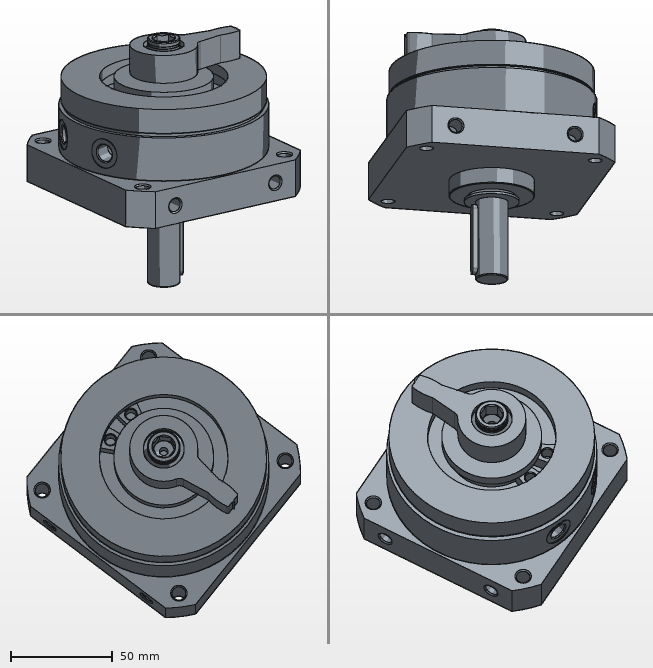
import cadquery as cq
import math


FLANGE_WIDTH = 105.0
FLANGE_HEIGHT = 19.0
FLANGE_CORNER_DIAMETER = 134.4
BOLT_PITCH = 85.0
BOLT_HOLE_DIAMETER = 6.65
SIDE_HOLE_PITCH = 60.0
SIDE_HOLE_DIAMETER = 6.65
SIDE_HOLE_DEPTH = 12.0
THREAD_COUNTERSINK_DIAMETER = 8.0

SPIGOT_DIAMETER = 42.0
SPIGOT_HEIGHT = 8.0

BODY_DIAMETER = 103.2
BODY_TOP = 41.6
NECK_DIAMETER = 99.0
HEAD_DIAMETER = 101.0
HEAD_BOTTOM = 43.2
HEAD_TOP = 56.0
EDGE_CHAMFER = 0.4

PORT_ANGLE = 20.0
PORT_HEIGHT = 30.3
PORT_FACE_DIAMETER = 15.0
PORT_FACE_RADIUS = 51.0
PORT_DIAMETER = 8.57
PORT_COUNTERSINK_DIAMETER = 9.7
PORT_DEPTH = 9.0

SLOT_INNER_DIAMETER = 49.0
SLOT_OUTER_DIAMETER = 63.0
UNDERCUT_INNER_DIAMETER = 43.0
UNDERCUT_OUTER_DIAMETER = 72.0
UNDERCUT_TOP = HEAD_TOP - 5.5

STOP_ANGLE = 17.0
STOP_SPAN = 20.5
STOP_HOLE_DIAMETER = 5.3
STOP_HOLE_COUNTERSINK_DIAMETER = 6.2
STOP_HOLE_RADIUS = (SLOT_INNER_DIAMETER + SLOT_OUTER_DIAMETER) / 4

SHAFT_DIAMETER = 16.0
SHAFT_BOTTOM = -51.0
SHAFT_TOP = 76.0
SHAFT_CHAMFER = 0.5
JOURNAL_DIAMETER = 20.0
COLLAR_DIAMETER = 27.0
COLLAR_NECK_DIAMETER = 23.6
COLLAR_RIM_TOP = -9.8
COLLAR_BOTTOM = -11.0
RING_GROOVE_DIAMETER = 15.2
RING_GROOVE_TOP = 73.7
RING_GROOVE_WIDTH = 1.1
SHOULDER_TOP = 71.5
SHOULDER_HEIGHT = (JOURNAL_DIAMETER - SHAFT_DIAMETER) / 2

KEY_WIDTH = 5.0
KEY_REACH = 10.0
KEY_BOTTOM = -49.0
KEY_LENGTH = 36.0

SOCKET_FLATS = 10.0
SOCKET_COUNTERSINK_DIAMETER = 11.55
SOCKET_DEPTH = 8.0
CENTRE_HOLE_DIAMETER = 4.13
CENTRE_HOLE_DEPTH = 8.0

LEVER_BOTTOM = 58.0
LEVER_TOP = 72.4
LEVER_HUB_DIAMETER = 33.4
LEVER_TIP = 43.2
LEVER_POINT_HEIGHT = 0.7
LEVER_POINT_HALF_WIDTH = 0.7
LEVER_TIP_FILLET = 0.8
LEVER_TIP_HALF_WIDTH = 3.9
LEVER_BULGE_HALF_WIDTH = 4.75
LEVER_BULGE_Y = 37.0
LEVER_WAIST_HALF_WIDTH = 4.3
LEVER_WAIST_Y = 31.0
LEVER_ROOT_HALF_WIDTH = 6.8
LEVER_ROOT_Y = 15.0
LEVER_ROOT_FILLET = 4.0

DRILL_POINT_ANGLE = 118.0


def cylinder(diameter, bottom, top):
    return cq.Workplane("XY").workplane(offset=bottom).circle(diameter / 2).extrude(top - bottom)


def ring(inner_diameter, outer_diameter, bottom, top):
    return cylinder(outer_diameter, bottom, top).cut(cylinder(inner_diameter, bottom, top))


def cone(bottom_diameter, top_diameter, bottom, top):
    solid = cq.Solid.makeCone(
        bottom_diameter / 2, top_diameter / 2, top - bottom, cq.Vector(0, 0, bottom)
    )
    return cq.Workplane("XY").newObject([solid])


def drill_point(diameter, depth):
    """Conical end of a drilled hole, its wide end at Z = -depth."""
    height = diameter / 2 / math.tan(math.radians(DRILL_POINT_ANGLE / 2))
    return cone(0, diameter, -depth - height, -depth)


def countersink(diameter, mouth_diameter):
    """45 degree countersink with its mouth at Z = 0."""
    return cone(diameter, mouth_diameter, (diameter - mouth_diameter) / 2, 0)


def drill(diameter, depth, mouth_diameter):
    """Countersunk blind hole cutter along -Z from the origin."""
    hole = cylinder(diameter, -depth, 0)
    return hole.union(drill_point(diameter, depth)).union(countersink(diameter, mouth_diameter))


def make_flange():
    square = cq.Workplane("XY").rect(FLANGE_WIDTH, FLANGE_WIDTH).extrude(FLANGE_HEIGHT)
    flange = square.intersect(cylinder(FLANGE_CORNER_DIAMETER, 0, FLANGE_HEIGHT))
    for x in (-BOLT_PITCH / 2, BOLT_PITCH / 2):
        for y in (-BOLT_PITCH / 2, BOLT_PITCH / 2):
            hole = drill(BOLT_HOLE_DIAMETER, FLANGE_HEIGHT, THREAD_COUNTERSINK_DIAMETER)
            flange = flange.cut(hole.translate((x, y, FLANGE_HEIGHT)))
    for side in (-1, 1):
        for y in (-SIDE_HOLE_PITCH / 2, SIDE_HOLE_PITCH / 2):
            hole = drill(SIDE_HOLE_DIAMETER, SIDE_HOLE_DEPTH, THREAD_COUNTERSINK_DIAMETER)
            hole = hole.rotate((0, 0, 0), (0, 1, 0), side * 90)
            flange = flange.cut(hole.translate((side * FLANGE_WIDTH / 2, y, FLANGE_HEIGHT / 2)))
    return flange


def cut_ports(housing):
    """Two radial ports with flat faces, either side of the -Y direction."""
    face = cylinder(PORT_FACE_DIAMETER, 0, BODY_DIAMETER / 2 - PORT_FACE_RADIUS)
    cutter = face.union(drill(PORT_DIAMETER, PORT_DEPTH, PORT_COUNTERSINK_DIAMETER))
    cutter = cutter.rotate((0, 0, 0), (1, 0, 0), 90).translate((0, -PORT_FACE_RADIUS, PORT_HEIGHT))
    for angle in (-PORT_ANGLE, PORT_ANGLE):
        housing = housing.cut(cutter.rotate((0, 0, 0), (0, 0, 1), angle))
    return housing


def make_housing():
    spigot = cylinder(SPIGOT_DIAMETER, -SPIGOT_HEIGHT, 0).faces("<Z").chamfer(EDGE_CHAMFER)
    body = cylinder(BODY_DIAMETER, FLANGE_HEIGHT, BODY_TOP).faces("<Z").chamfer(EDGE_CHAMFER)
    neck = cylinder(NECK_DIAMETER, BODY_TOP, HEAD_BOTTOM)
    head = cylinder(HEAD_DIAMETER, HEAD_BOTTOM, HEAD_TOP).faces("<Z").chamfer(EDGE_CHAMFER)
    housing = make_flange().union(spigot).union(body).union(neck).union(head)
    housing = cut_ports(housing)
    slot = ring(SLOT_INNER_DIAMETER, SLOT_OUTER_DIAMETER, UNDERCUT_TOP, HEAD_TOP)
    undercut = ring(UNDERCUT_INNER_DIAMETER, UNDERCUT_OUTER_DIAMETER, HEAD_BOTTOM, UNDERCUT_TOP)
    bore = cylinder(JOURNAL_DIAMETER, -SPIGOT_HEIGHT, HEAD_TOP)
    return housing.cut(slot).cut(undercut).cut(bore)


def make_stop(angle):
    """Sector block filling the undercut of the ring slot, centred at the given angle from -Y."""
    profile_width = (UNDERCUT_OUTER_DIAMETER - UNDERCUT_INNER_DIAMETER) / 2
    profile_height = UNDERCUT_TOP - HEAD_BOTTOM
    profile_centre = (
        -(UNDERCUT_OUTER_DIAMETER + UNDERCUT_INNER_DIAMETER) / 4,
        (UNDERCUT_TOP + HEAD_BOTTOM) / 2,
    )
    stop = (
        cq.Workplane("YZ")
        .center(*profile_centre)
        .rect(profile_width, profile_height)
        .revolve(STOP_SPAN, (-profile_centre[0], 0, 0), (-profile_centre[0], 1, 0))
    )
    direction = math.copysign(1, stop.val().Center().x)
    stop = stop.rotate((0, 0, 0), (0, 0, 1), -direction * STOP_SPAN / 2)
    hole = drill(STOP_HOLE_DIAMETER, profile_height, STOP_HOLE_COUNTERSINK_DIAMETER)
    stop = stop.cut(hole.translate((0, -STOP_HOLE_RADIUS, UNDERCUT_TOP)))
    return stop.rotate((0, 0, 0), (0, 0, 1), angle)


def make_shaft():
    journal = cylinder(JOURNAL_DIAMETER, -SPIGOT_HEIGHT, LEVER_BOTTOM)
    shaft = cylinder(SHAFT_DIAMETER, SHAFT_BOTTOM, SHAFT_TOP)
    shaft = shaft.faces("<Z or >Z").chamfer(SHAFT_CHAMFER)
    collar_rim = cylinder(COLLAR_DIAMETER, COLLAR_BOTTOM, COLLAR_RIM_TOP)
    collar_flare = cone(COLLAR_DIAMETER, COLLAR_NECK_DIAMETER, COLLAR_RIM_TOP, -SPIGOT_HEIGHT)
    return shaft.union(journal).union(collar_rim).union(collar_flare)


def make_key():
    """Round-ended feather key on the +Y side of the output shaft."""
    return (
        cq.Workplane("XZ")
        .center(0, KEY_BOTTOM + KEY_LENGTH / 2)
        .slot2D(KEY_LENGTH, KEY_WIDTH, 90)
        .extrude(-KEY_REACH)
    )


def make_lever():
    hub = cylinder(LEVER_HUB_DIAMETER, LEVER_BOTTOM, LEVER_TOP)
    arm = (
        cq.Workplane("XY")
        .workplane(offset=LEVER_BOTTOM)
        .moveTo(-LEVER_ROOT_HALF_WIDTH, 0)
        .lineTo(-LEVER_ROOT_HALF_WIDTH, LEVER_ROOT_Y)
        .lineTo(-LEVER_WAIST_HALF_WIDTH, LEVER_WAIST_Y)
        .threePointArc((-LEVER_BULGE_HALF_WIDTH, LEVER_BULGE_Y), (-LEVER_TIP_HALF_WIDTH, LEVER_TIP))
        .lineTo(-LEVER_POINT_HALF_WIDTH, LEVER_TIP)
        .lineTo(0, LEVER_TIP + LEVER_POINT_HEIGHT)
        .lineTo(LEVER_POINT_HALF_WIDTH, LEVER_TIP)
        .lineTo(LEVER_TIP_HALF_WIDTH, LEVER_TIP)
        .threePointArc((LEVER_BULGE_HALF_WIDTH, LEVER_BULGE_Y), (LEVER_WAIST_HALF_WIDTH, LEVER_WAIST_Y))
        .lineTo(LEVER_ROOT_HALF_WIDTH, LEVER_ROOT_Y)
        .lineTo(LEVER_ROOT_HALF_WIDTH, 0)
        .close()
        .extrude(LEVER_TOP - LEVER_BOTTOM)
    )
    tip_corners = cq.selectors.BoxSelector(
        (-LEVER_BULGE_HALF_WIDTH, LEVER_TIP - LEVER_TIP_FILLET, LEVER_BOTTOM),
        (-LEVER_POINT_HALF_WIDTH * 2, LEVER_TIP + LEVER_TIP_FILLET, LEVER_TOP),
    ) + cq.selectors.BoxSelector(
        (LEVER_POINT_HALF_WIDTH * 2, LEVER_TIP - LEVER_TIP_FILLET, LEVER_BOTTOM),
        (LEVER_BULGE_HALF_WIDTH, LEVER_TIP + LEVER_TIP_FILLET, LEVER_TOP),
    )
    arm = arm.edges(tip_corners).fillet(LEVER_TIP_FILLET)
    lever = hub.union(arm)
    hub_radius = LEVER_HUB_DIAMETER / 2
    roots = cq.selectors.BoxSelector(
        (-hub_radius, LEVER_ROOT_Y - 2, LEVER_BOTTOM), (hub_radius, LEVER_ROOT_Y + 2, LEVER_TOP)
    )
    return lever.edges(roots).edges("|Z").fillet(LEVER_ROOT_FILLET)


def cut_socket(rotor):
    """Hexagon socket with a conical floor and a centre hole in the top end of the shaft."""
    corner_diameter = SOCKET_FLATS / math.cos(math.radians(30))
    hexagon = (
        cq.Workplane("XY")
        .workplane(offset=SHAFT_TOP)
        .polygon(6, corner_diameter)
        .extrude(-SOCKET_DEPTH)
    )
    mouth = countersink(SOCKET_FLATS, SOCKET_COUNTERSINK_DIAMETER)
    centre_depth = SOCKET_DEPTH + CENTRE_HOLE_DEPTH
    round_cutters = [
        mouth,
        drill_point(SOCKET_FLATS, SOCKET_DEPTH),
        cylinder(CENTRE_HOLE_DIAMETER, -centre_depth, 0),
        drill_point(CENTRE_HOLE_DIAMETER, centre_depth),
    ]
    rotor = rotor.cut(hexagon)
    for cutter in round_cutters:
        rotor = rotor.cut(cutter.translate((0, 0, SHAFT_TOP)))
    return rotor


def cut_shaft_recess(rotor):
    """Ring space between the lever's bore and the shaft, above the conical shoulder of the shaft."""
    shoulder_bottom = SHOULDER_TOP - SHOULDER_HEIGHT
    space = ring(SHAFT_DIAMETER, JOURNAL_DIAMETER, shoulder_bottom, LEVER_TOP)
    shoulder = cone(JOURNAL_DIAMETER, SHAFT_DIAMETER, shoulder_bottom, SHOULDER_TOP)
    return rotor.cut(space.cut(shoulder))


def cut_ring_groove(rotor):
    """Retaining ring groove round the shaft."""
    groove_bottom = RING_GROOVE_TOP - RING_GROOVE_WIDTH
    return rotor.cut(ring(RING_GROOVE_DIAMETER, SHAFT_DIAMETER, groove_bottom, RING_GROOVE_TOP))


def make_rotor():
    rotor = make_shaft().union(make_key()).union(make_lever())
    return cut_socket(cut_ring_groove(cut_shaft_recess(rotor)))


housing = make_housing()
stops = [make_stop(angle) for angle in (-STOP_ANGLE, STOP_ANGLE)]
rotor = make_rotor()

result = cq.Compound.makeCompound([housing.val(), *[stop.val() for stop in stops], rotor.val()])